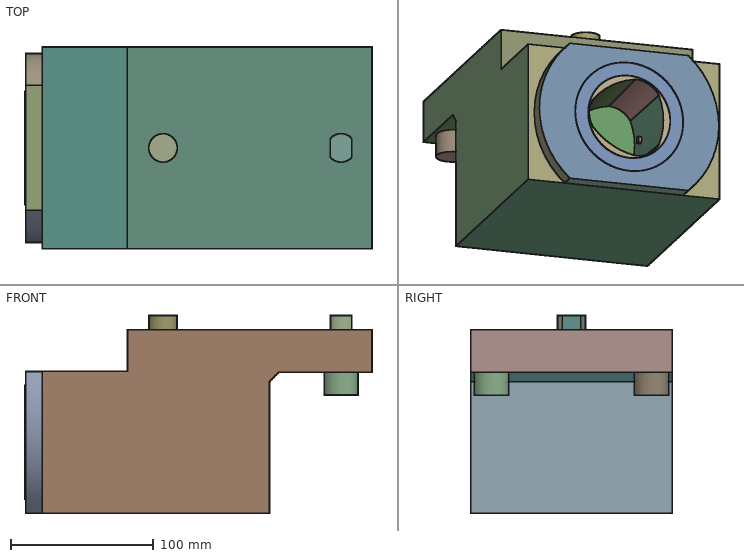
import cadquery as cq
import math


overall_length = 244.0
width = 142.0
body_height = 100.0
plate_top_above_body = 29.25
plate_thickness = 30.0
plate_length = 172.0
body_length = 160.0
corner_chamfer = 6.5

ring_height = 0.5
ring_diameter = 80.02
recess_diameter = 60.8
recess_depth = 0.5
flange_diameter = 133.0
flange_flat_step = 0.1
flange_back = 12.0

lobe_reach = 29.5
flat_reach = 25.5
lobe_radius = 20.0
lobe_count = 3
bore_depth = 60.0
taper_ratio = 1 / 20
drive_pin_diameter = 5.0
drive_pin_tip = 22.3
drive_pin_embedding = 6.0
drive_pin_from_bore_end = 12.0

locating_pin_diameter = 20.0
locating_pin_height = 10.0
pin_spacing = 125.2
key_width = 15.0
key_setback = 21.75
stud_diameter = 24.0
stud_length = 16.0
stud_offset = 56.25
key_x = overall_length - key_setback
round_pin_x = key_x - pin_spacing

body_bottom = -body_height / 2
body_top = body_height / 2
plate_top = body_top + plate_top_above_body
plate_bottom = plate_top - plate_thickness
plate_front = overall_length - plate_length
body_back = flange_back + body_length
drive_pin_x = bore_depth - drive_pin_from_bore_end


def x_cylinder(diameter, start, end):
    return cq.Workplane("YZ", origin=(start, 0, 0)).circle(diameter / 2).extrude(end - start)


def z_cylinder(diameter, x, y, bottom, top):
    return cq.Workplane("XY", origin=(x, y, bottom)).circle(diameter / 2).extrude(top - bottom)


def make_body():
    profile = (
        cq.Workplane("XZ", origin=(0, width / 2, 0))
        .moveTo(flange_back, body_bottom)
        .lineTo(body_back, body_bottom)
        .lineTo(body_back, plate_bottom - corner_chamfer)
        .lineTo(body_back + corner_chamfer, plate_bottom)
        .lineTo(overall_length, plate_bottom)
        .lineTo(overall_length, plate_top)
        .lineTo(plate_front, plate_top)
        .lineTo(plate_front, body_top)
        .lineTo(flange_back, body_top)
        .close()
    )
    return profile.extrude(width)


def make_flange():
    disc = x_cylinder(flange_diameter, ring_height, flange_back)
    trim = cq.Workplane("XY").box(2 * flange_back, flange_diameter, body_height - 2 * flange_flat_step)
    return disc.intersect(trim)


def polar_point(radius, angle, center=(0, 0)):
    return (center[0] + radius * math.cos(angle), center[1] + radius * math.sin(angle))


def lobed_outline(plane, inset):
    """Closed constant-width outline: blended lobes and flats, pulled in by the inset."""
    step = 2 * math.pi / lobe_count
    center_distance = lobe_reach - lobe_radius
    radius = lobe_radius - inset
    half_lobe = step / 4
    outline = plane.moveTo(*polar_point(radius, -half_lobe, (center_distance, 0)))
    for lobe in range(lobe_count):
        direction = lobe * step
        center = polar_point(center_distance, direction)
        next_center = polar_point(center_distance, direction + step)
        next_start = polar_point(radius, direction + step - half_lobe, next_center)
        lobe_tip = polar_point(lobe_reach - inset, direction)
        lobe_end = polar_point(radius, direction + half_lobe, center)
        flat_middle = polar_point(flat_reach - inset, direction + step / 2)
        outline = outline.threePointArc(lobe_tip, lobe_end).threePointArc(flat_middle, next_start)
    return outline.close()


def make_bore():
    length = bore_depth - recess_depth
    mouth = lobed_outline(cq.Workplane("YZ", origin=(recess_depth, 0, 0)), 0)
    end_inset = length * taper_ratio / 2
    return lobed_outline(mouth.workplane(offset=length), end_inset).loft(ruled=True, combine=True)


def make_drive_pin():
    start = cq.Workplane("XZ", origin=(drive_pin_x, -drive_pin_tip, 0))
    return start.circle(drive_pin_diameter / 2).extrude(flat_reach - drive_pin_tip + drive_pin_embedding)


def make_locating_pin(x):
    return z_cylinder(locating_pin_diameter, x, 0, plate_top, plate_top + locating_pin_height)


def make_key():
    trim = cq.Workplane("XY", origin=(key_x, 0, plate_top)).box(
        key_width, locating_pin_diameter, 2 * locating_pin_height
    )
    return make_locating_pin(key_x).intersect(trim)


def make_stud(y):
    return z_cylinder(stud_diameter, key_x, y, plate_bottom - stud_length, plate_bottom)


contact_ring = x_cylinder(ring_diameter, 0, ring_height)
recess = x_cylinder(recess_diameter, 0, recess_depth)

result = make_body().union(make_flange()).union(contact_ring)
result = result.union(make_locating_pin(round_pin_x)).union(make_key())
for side in (-1, 1):
    result = result.union(make_stud(side * stud_offset))
result = result.cut(recess).cut(make_bore()).union(make_drive_pin())